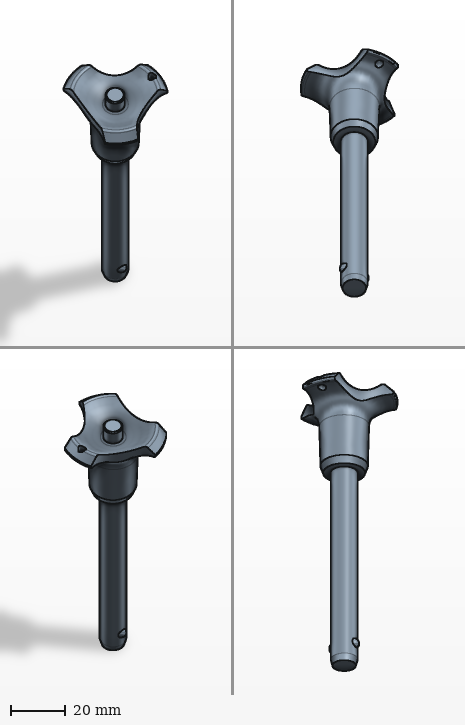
import cadquery as cq
import math


shank_radius = 5.0
shank_length = 80.0
tip_radius = 4.3
tip_height = 2.65

ball_radius = 2.0
ball_center_x = 4.1
ball_above_tip = 8.1

handle_height = 32.9
foot_radius = 7.7
foot_height = 2.9
body_bottom_radius = 8.75
body_top_radius = 9.2

flare_radius = 9.1
flare_top_depth = 4.4
rim_radius = 19.63
rim_round = 0.5
cone_bottom_depth = 3.1
cone_angle = 45.0
crest_round = 1.0
dish_radius = 23.0
seat_radius = 4.72

side_scallop_radius = 19.1
side_scallop_x = 25.75
side_scallop_y = 15.8
front_scallop_radius = 52.8
front_scallop_gap = 11.35

lanyard_radius = 1.5
lanyard_y = 16.1

button_radius = 3.6
button_chamfer = 0.5


def on_circle(center, radius, degrees):
    angle = math.radians(degrees)
    return (center[0] + radius * math.cos(angle), center[1] + radius * math.sin(angle))


def revolve_about_z(profile):
    return profile.close().revolve(360, (0, 0), (0, 1))


cone_bottom_z = handle_height - cone_bottom_depth
crest_z = handle_height - crest_round
cone_radius_at_crest = rim_radius - (crest_z - cone_bottom_z) / math.tan(math.radians(cone_angle))
crest_center = (cone_radius_at_crest - crest_round / math.sin(math.radians(cone_angle)), crest_z)
crest_outer = on_circle(crest_center, crest_round, 90 - cone_angle)
crest_top = on_circle(crest_center, crest_round, 90)
dish_angle = math.degrees(math.acos(-crest_center[0] / (dish_radius + crest_round)))
crest_inner = on_circle(crest_center, crest_round, dish_angle)

dish_center_z = crest_z + math.sqrt((dish_radius + crest_round) ** 2 - crest_center[0] ** 2)
dish_mid_r = (crest_inner[0] + seat_radius) / 2
dish_mid = (dish_mid_r, dish_center_z - math.sqrt(dish_radius**2 - dish_mid_r**2))
seat_z = dish_center_z - math.sqrt(dish_radius**2 - seat_radius**2)

flare_top_z = handle_height - flare_top_depth
flare_center = (body_top_radius + flare_radius, flare_top_z - flare_radius)
flare_start = on_circle(flare_center, flare_radius, 180)
flare_mid = on_circle(flare_center, flare_radius, 135)
flare_end = on_circle(flare_center, flare_radius, 90)
rim_round_center = (rim_radius - rim_round, flare_top_z + rim_round)


def make_shank():
    profile = (
        cq.Workplane("XZ")
        .moveTo(0, 0)
        .lineTo(shank_radius, 0)
        .lineTo(shank_radius, tip_height - shank_length)
        .lineTo(tip_radius, -shank_length)
        .lineTo(0, -shank_length)
    )
    return revolve_about_z(profile)


def make_ball(x):
    return cq.Workplane("XY").sphere(ball_radius).translate((x, 0, ball_above_tip - shank_length))


def make_round_handle():
    profile = (
        cq.Workplane("XZ")
        .moveTo(0, 0)
        .lineTo(foot_radius, 0)
        .lineTo(body_bottom_radius, foot_height)
        .lineTo(*flare_start)
        .threePointArc(flare_mid, flare_end)
        .lineTo(rim_round_center[0], flare_top_z)
        .threePointArc(
            on_circle(rim_round_center, rim_round, -45),
            on_circle(rim_round_center, rim_round, 0),
        )
        .lineTo(rim_radius, cone_bottom_z)
        .lineTo(*crest_outer)
        .threePointArc(crest_top, crest_inner)
        .threePointArc(dish_mid, (seat_radius, seat_z))
        .lineTo(0, seat_z)
    )
    return revolve_about_z(profile)


def make_scallop(x, y, radius):
    return cq.Workplane("XY").center(x, y).circle(radius).extrude(handle_height)


def make_handle():
    handle = make_round_handle()
    for side in (-1, 1):
        handle = handle.cut(make_scallop(side * side_scallop_x, side_scallop_y, side_scallop_radius))
    front_scallop_y = -(front_scallop_gap + front_scallop_radius)
    handle = handle.cut(make_scallop(0, front_scallop_y, front_scallop_radius))
    lanyard_hole = cq.Workplane("XY").center(0, lanyard_y).circle(lanyard_radius).extrude(handle_height)
    return handle.cut(lanyard_hole)


def make_button():
    button = cq.Workplane("XY").workplane(offset=seat_z).circle(button_radius).extrude(handle_height - seat_z)
    return button.faces(">Z").chamfer(button_chamfer)


result = make_handle().union(make_shank()).union(make_button())
for side in (-1, 1):
    result = result.union(make_ball(side * ball_center_x))